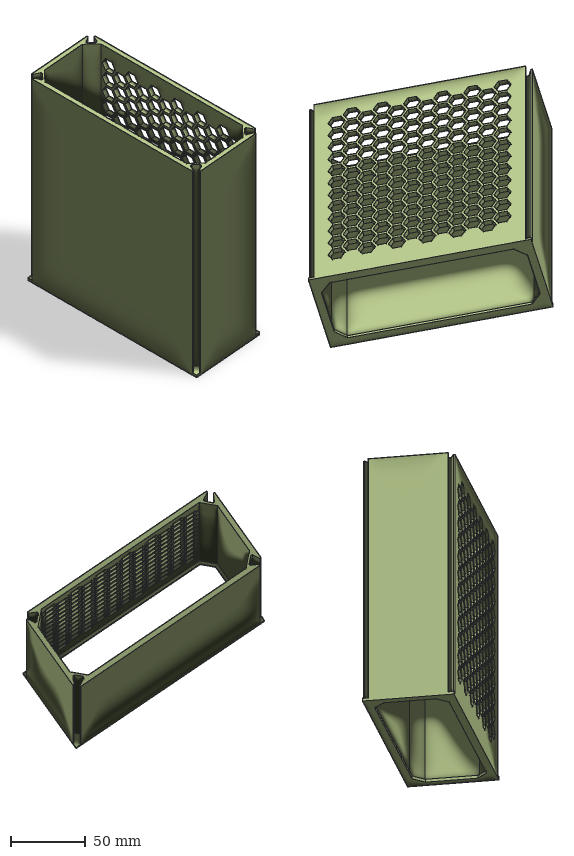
import cadquery as cq
import math

WIDTH = 153.3
DEPTH = 62.3
HEIGHT = 175.0

WALL = 3.7
BASE_THICKNESS = 2.1
LEDGE = 2.1

CORNER_FACE = 11.4

GROOVE_MOUTH = 3.8
GROOVE_LIP = 1.0
GROOVE_REACH = 9.0
FLANK_INSET = 3.7
FLOOR_INSET = 5.0

HEX_COLUMNS = 12
HEX_ROWS = 12
VENT_SPAN = 132.0
HEX_PITCH = VENT_SPAN / (HEX_ROWS - 1)
HEX_GAP = 2.0


def octagonal_prism(inset, corner_face, bottom, top):
    """Box inset from the outer sides, its vertical corners cut at corner_face along the diagonal."""
    chamfer = math.sqrt(2) * corner_face - 2 * inset
    return (
        cq.Workplane("XY")
        .workplane(offset=bottom)
        .rect(WIDTH - 2 * inset, DEPTH - 2 * inset)
        .extrude(top - bottom)
        .edges("|Z")
        .chamfer(chamfer)
    )


def corner_groove():
    """Undercut groove of the (-X, -Y) corner, from the top of the base to the rim."""
    half_outline = [
        (GROOVE_MOUTH, 0),
        (GROOVE_MOUTH, GROOVE_LIP),
        (GROOVE_REACH, FLANK_INSET),
        (GROOVE_REACH, FLOOR_INSET),
    ]
    mirrored_half = [(y, x) for x, y in reversed(half_outline)]
    outline = [(0, 0)] + half_outline + mirrored_half
    return (
        cq.Workplane("XY")
        .workplane(offset=BASE_THICKNESS)
        .polyline(outline)
        .close()
        .extrude(HEIGHT - BASE_THICKNESS)
        .translate((-WIDTH / 2, -DEPTH / 2, 0))
    )


def honeycomb_vent():
    """Columns of hexagons with level upper and lower sides, every other column raised half a pitch."""
    across_flats = HEX_PITCH - HEX_GAP
    across_corners = across_flats / math.cos(math.pi / 6)
    column_pitch = HEX_PITCH * math.cos(math.pi / 6)
    lowest = (HEIGHT - VENT_SPAN) / 2
    centers = []
    for column in range(HEX_COLUMNS):
        x = (column - (HEX_COLUMNS - 1) / 2) * column_pitch
        raised = HEX_PITCH / 2 if column % 2 == 0 else 0
        for row in range(HEX_ROWS):
            centers.append((x, lowest + raised + row * HEX_PITCH))
    return (
        cq.Workplane("XZ", origin=(0, DEPTH / 2, 0))
        .pushPoints(centers)
        .polygon(6, across_corners)
        .extrude(WALL)
    )


body = cq.Workplane("XY").box(WIDTH, DEPTH, HEIGHT, centered=(True, True, False))
body = body.cut(octagonal_prism(WALL, CORNER_FACE, BASE_THICKNESS, HEIGHT))
body = body.cut(octagonal_prism(WALL + LEDGE, CORNER_FACE + LEDGE, 0, BASE_THICKNESS))

groove = corner_groove()
for corner in (groove, groove.mirror("YZ")):
    body = body.cut(corner).cut(corner.mirror("XZ"))

result = body.cut(honeycomb_vent())